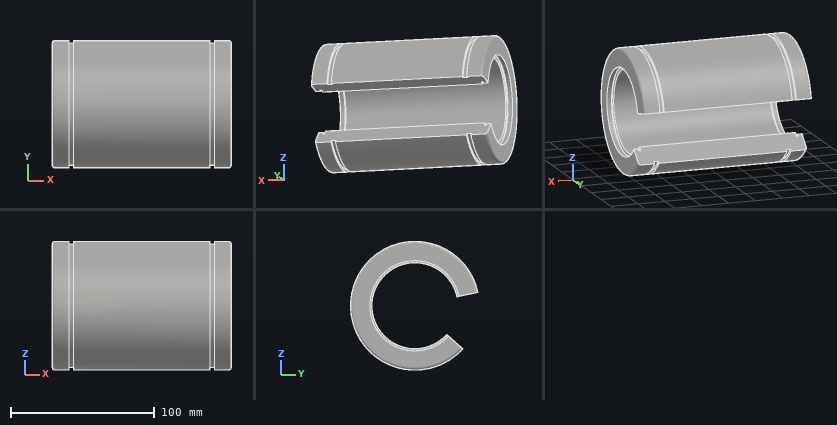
import cadquery as cq
import math

length = 125.0
outer_radius = 45.0
bore_radius = 30.0
edge_radius = 2.0

groove_span = 101.4
groove_width = 3.15
groove_radius = 43.25

mouth_radius = 31.5
mouth_depth = 3.5
inner_groove_radius = 33.0
inner_groove_width = 1.0

opening_above = 12.0
opening_below = 42.0


def cylinder(radius, start, span):
    """Solid cylinder about the X axis, running from X = start over span."""
    return cq.Workplane("YZ", origin=(start, 0, 0)).circle(radius).extrude(span)


def make_sleeve():
    body = cylinder(outer_radius, -length / 2, length)
    body = body.faces("<X or >X").edges().fillet(edge_radius)
    return body.cut(cylinder(bore_radius, -length / 2, length))


def cut_outer_grooves(body):
    for start in (-groove_span / 2, groove_span / 2 - groove_width):
        ring = cylinder(outer_radius, start, groove_width)
        body = body.cut(ring.cut(cylinder(groove_radius, start, groove_width)))
    return body


def cut_bore_ends(body):
    for side in (-1, 1):
        end = side * length / 2
        body = body.cut(cylinder(mouth_radius, end, -side * mouth_depth))
        groove_start = end - side * mouth_depth
        body = body.cut(cylinder(inner_groove_radius, groove_start, -side * inner_groove_width))
    return body


def cut_opening(body):
    reach = 2 * outer_radius
    above = math.radians(opening_above)
    below = math.radians(-opening_below)
    wedge = (
        cq.Workplane("YZ", origin=(-length / 2, 0, 0))
        .lineTo(reach * math.cos(below), reach * math.sin(below))
        .lineTo(reach * math.cos(above), reach * math.sin(above))
        .close()
        .extrude(length)
    )
    return body.cut(wedge)


sleeve = make_sleeve()
sleeve = cut_outer_grooves(sleeve)
sleeve = cut_bore_ends(sleeve)
result = cut_opening(sleeve)